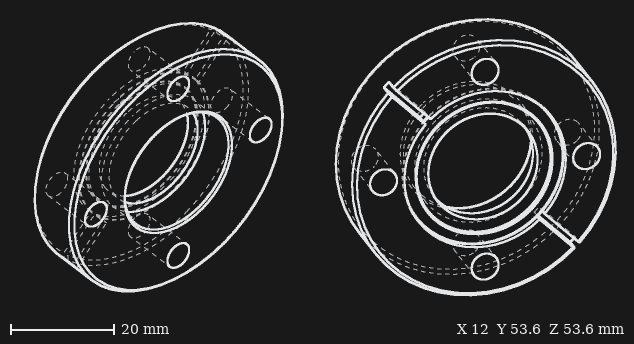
import cadquery as cq
import math

outer_radius = 26.8
thickness = 11.95
rim_chamfer = 0.75
front_x = -thickness / 2
back_x = thickness / 2

bore_radius = 11.1
tube_socket_radius = 13.0
socket_chamfer = 0.5
socket_shoulder_depth = 4.35

recess_radius = 16.4
slope_foot_radius = 16.25
floor_radius = 13.75
floor_depth = 1.35
knife_radius = 13.95
knife_depth = 0.65
knife_slope = 20.0

bolt_count = 4
bolt_circle_radius = 20.65
bolt_hole_radius = 2.75

groove_width = 1.45
groove_depth = 3.55
groove_angle = 45.0


def make_body():
    """Revolve the half section; sketch points are (x, radius)."""
    slope_width = slope_foot_radius - knife_radius
    recess_depth = knife_depth + slope_width * math.tan(math.radians(knife_slope))
    chamfer_radius = outer_radius - rim_chamfer
    section = [
        (front_x + floor_depth, bore_radius),
        (front_x + floor_depth, floor_radius),
        (front_x + knife_depth, floor_radius),
        (front_x + knife_depth, knife_radius),
        (front_x + recess_depth, slope_foot_radius),
        (front_x + recess_depth, recess_radius),
        (front_x, recess_radius),
        (front_x, chamfer_radius),
        (front_x + rim_chamfer, outer_radius),
        (back_x - rim_chamfer, outer_radius),
        (back_x, chamfer_radius),
        (back_x, tube_socket_radius + socket_chamfer),
        (back_x - socket_chamfer, tube_socket_radius),
        (front_x + socket_shoulder_depth, tube_socket_radius),
        (front_x + socket_shoulder_depth, bore_radius),
    ]
    return cq.Workplane("XY").polyline(section).close().revolve(360, (0, 0, 0), (1, 0, 0))


def make_bolt_holes():
    """Cylinders through the full thickness, evenly spaced on the bolt circle."""
    return (
        cq.Workplane("YZ", origin=(front_x, 0, 0))
        .polarArray(bolt_circle_radius, 0, 360, bolt_count)
        .circle(bolt_hole_radius)
        .extrude(thickness)
    )


def make_grooves():
    """Two opposite radial slots from the recess wall out through the rim."""
    bar = (
        cq.Workplane("XY")
        .box(groove_depth, 2 * outer_radius, groove_width)
        .translate((front_x + groove_depth / 2, 0, 0))
        .rotate((0, 0, 0), (1, 0, 0), groove_angle)
    )
    recess_core = cq.Workplane("YZ", origin=(front_x, 0, 0)).circle(recess_radius).extrude(groove_depth)
    return bar.cut(recess_core)


result = make_body().cut(make_bolt_holes()).cut(make_grooves())